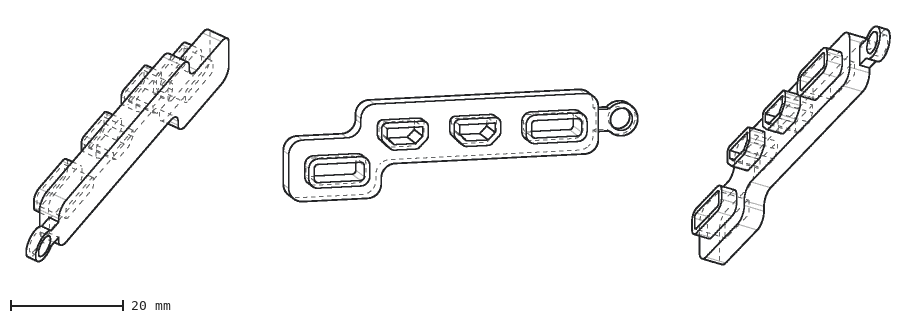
import cadquery as cq


plate_thickness = 4.0
plate_length = 56.65
plate_height = 17.0
upper_length = 43.45
upper_height = 10.95
lower_length = 16.95
lower_height = 11.15
plate_corner_radius = 2.5

row_center_z = 11.6

wall = 1.0
plug_height = 3.0
floor_thickness = wall
pocket_depth = plug_height + plate_thickness - floor_thickness

slot_length = 9.15
upper_slot_width = 3.15
lower_slot_width = 3.3
slot_outer_radius = 1.7
slot_inner_radius = slot_outer_radius - wall
upper_slot_center = (8.45, row_center_z)
lower_slot_center = (plate_length - lower_length / 2, lower_height / 2)

d_length = 6.5
d_width = 2.95
d_corner_cut = 1.3
d_centers_y = (22.9, 36.2)

ring_hole_diameter = 4.0
ring_diameter = ring_hole_diameter + 2 * wall
ring_thickness = plate_thickness / 2
ring_overhang = 7.7
ring_center_y = ring_diameter / 2 - ring_overhang
tab_width = ring_hole_diameter


def profile_plane(x):
    """Sketch plane at the given X, with Y across, Z up and +X as its normal."""
    return cq.Workplane("YZ", origin=(x, 0, 0))


def make_plate():
    upper_bottom = plate_height - upper_height
    lower_start = plate_length - lower_length
    outline = [
        (0, upper_bottom),
        (lower_start, upper_bottom),
        (lower_start, 0),
        (plate_length, 0),
        (plate_length, lower_height),
        (upper_length, lower_height),
        (upper_length, plate_height),
        (0, plate_height),
    ]
    plate = profile_plane(0).polyline(outline).close().extrude(plate_thickness)
    return plate.edges("|X").fillet(plate_corner_radius)


def make_slot_plug(center, width):
    """Return the rounded rectangular plug and the pocket inside it."""
    plug = (
        profile_plane(-plug_height)
        .center(*center)
        .rect(slot_length + 2 * wall, width + 2 * wall)
        .extrude(plug_height)
        .edges("|X")
        .fillet(slot_outer_radius)
    )
    pocket = (
        profile_plane(-plug_height)
        .center(*center)
        .rect(slot_length, width)
        .extrude(pocket_depth)
        .edges("|X")
        .fillet(slot_inner_radius)
    )
    return plug, pocket


def d_outline(center_y):
    """Sketch the D-shaped opening: square upper corners, cut lower corners."""
    half_length = d_length / 2
    half_width = d_width / 2
    points = [
        (-half_length, half_width),
        (-half_length, d_corner_cut - half_width),
        (d_corner_cut - half_length, -half_width),
        (half_length - d_corner_cut, -half_width),
        (half_length, d_corner_cut - half_width),
        (half_length, half_width),
    ]
    plane = profile_plane(-plug_height).center(center_y, row_center_z)
    return plane.polyline(points).close()


def make_d_plug(center_y):
    """Return the D-shaped plug and the pocket inside it."""
    plug = d_outline(center_y).offset2D(wall, "arc").extrude(plug_height)
    pocket = d_outline(center_y).extrude(pocket_depth)
    return plug, pocket


def make_ring():
    """Return the ring with its tab and the hole through it."""
    start_x = plate_thickness - ring_thickness
    tab_length = -ring_center_y
    ring_plane = profile_plane(start_x).center(ring_center_y, row_center_z)
    disc = ring_plane.circle(ring_diameter / 2).extrude(ring_thickness)
    hole = ring_plane.circle(ring_hole_diameter / 2).extrude(ring_thickness)
    tab = (
        ring_plane
        .center(tab_length / 2, 0)
        .rect(tab_length, tab_width)
        .extrude(ring_thickness)
    )
    return disc.union(tab), hole


features = [
    make_slot_plug(upper_slot_center, upper_slot_width),
    make_slot_plug(lower_slot_center, lower_slot_width),
    make_ring(),
]
features += [make_d_plug(center_y) for center_y in d_centers_y]

result = make_plate()
for body, opening in features:
    result = result.union(body).cut(opening)